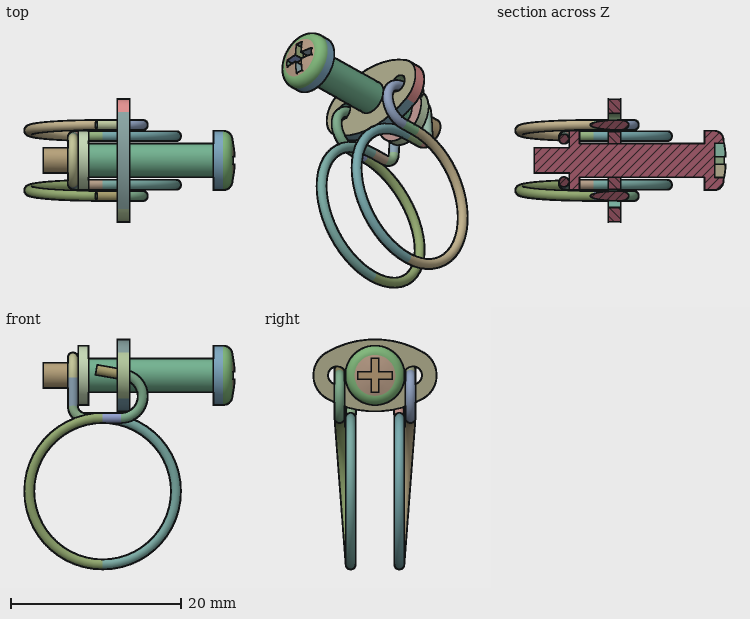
import cadquery as cq
import math


TIP_RADIUS = 1.5
TIP_START_X = -7.0
COLLAR_RADIUS = 3.5
COLLAR_START_X = -2.9
COLLAR_THICKNESS = 1.25
SHANK_RADIUS = 2.0
HEAD_RADIUS = 3.5
HEAD_START_X = 13.0
HEAD_RIM_LENGTH = 1.15
HEAD_EDGE_RADIUS = 1.1
HEAD_HEIGHT = 2.53
CROSS_LENGTH = 4.0
CROSS_WIDTH = 0.9
CROSS_DEPTH = 1.3

COLLAR_END_X = COLLAR_START_X + COLLAR_THICKNESS
HEAD_RIM_X = HEAD_START_X + HEAD_RIM_LENGTH
CROWN_X = HEAD_RIM_X + HEAD_EDGE_RADIUS
CROWN_RADIUS = HEAD_RADIUS - HEAD_EDGE_RADIUS
HEAD_END_X = HEAD_START_X + HEAD_HEIGHT

PLATE_START_X = 1.7
PLATE_THICKNESS = 1.5
PLATE_WIDTH = 14.5
PLATE_HEIGHT = 8.5
PLATE_SIDE_RADIUS = 11.25
WIRE_HOLE_RADIUS = 1.05
WIRE_HOLE_OFFSET_Y = 4.45

WIRE_RADIUS = 0.6
YOKE_RADIUS = 2.56
LEG_SPLAY = math.radians(3.7)
LEG_BEND_RADIUS = 1.4
COIL_RADIUS = 8.6
COIL_CENTER_Z = -13.6
COIL_END_Y = 4.17
HOOK_START_X = 2.15
HOOK_RADIUS = 2.55
HOOK_TIP_RISE = math.radians(10)
HOOK_TIP_LENGTH = 3.4


def make_screw():
    profile = (
        cq.Workplane("XZ")
        .moveTo(TIP_START_X, 0)
        .lineTo(TIP_START_X, TIP_RADIUS)
        .lineTo(COLLAR_START_X, TIP_RADIUS)
        .lineTo(COLLAR_START_X, COLLAR_RADIUS)
        .lineTo(COLLAR_END_X, COLLAR_RADIUS)
        .lineTo(COLLAR_END_X, SHANK_RADIUS)
        .lineTo(HEAD_START_X, SHANK_RADIUS)
        .lineTo(HEAD_START_X, HEAD_RADIUS)
        .lineTo(HEAD_RIM_X, HEAD_RADIUS)
        .radiusArc((CROWN_X, CROWN_RADIUS), HEAD_EDGE_RADIUS)
    )
    crown_rise = HEAD_END_X - CROWN_X
    sphere_radius = (CROWN_RADIUS**2 + crown_rise**2) / (2 * crown_rise)
    profile = profile.radiusArc((HEAD_END_X, 0), sphere_radius).close()
    screw = profile.revolve(360, (0, 0, 0), (1, 0, 0))

    cross_center = (HEAD_END_X - CROSS_DEPTH / 2, 0, 0)
    for size_y, size_z in ((CROSS_LENGTH, CROSS_WIDTH), (CROSS_WIDTH, CROSS_LENGTH)):
        slot = cq.Workplane("XY").box(CROSS_DEPTH, size_y, size_z).translate(cross_center)
        screw = screw.cut(slot)
    return screw


def make_plate():
    half_width = PLATE_WIDTH / 2
    half_height = PLATE_HEIGHT / 2
    side_center = PLATE_SIDE_RADIUS - half_height
    end_gap = PLATE_SIDE_RADIUS - half_width
    end_center = (side_center**2 - end_gap**2) / (2 * end_gap)
    center_distance = math.hypot(end_center, side_center)
    tangent_y = PLATE_SIDE_RADIUS * end_center / center_distance
    tangent_z = PLATE_SIDE_RADIUS * side_center / center_distance - side_center

    return (
        cq.Workplane("YZ", origin=(PLATE_START_X, 0, 0))
        .moveTo(-tangent_y, tangent_z)
        .threePointArc((0, half_height), (tangent_y, tangent_z))
        .threePointArc((half_width, 0), (tangent_y, -tangent_z))
        .threePointArc((0, -half_height), (-tangent_y, -tangent_z))
        .threePointArc((-half_width, 0), (-tangent_y, tangent_z))
        .close()
        .extrude(PLATE_THICKNESS)
        .cut(cq.Workplane("YZ").circle(SHANK_RADIUS).extrude(HEAD_START_X))
        .cut(
            cq.Workplane("YZ")
            .pushPoints([(-WIRE_HOLE_OFFSET_Y, 0), (WIRE_HOLE_OFFSET_Y, 0)])
            .circle(WIRE_HOLE_RADIUS)
            .extrude(HEAD_START_X)
        )
    )


def wire_path():
    """Centreline from the free tip on the -Y side, over the yoke, to the free tip on the +Y side."""
    yoke_x = COLLAR_START_X - WIRE_RADIUS
    yoke_center_z = TIP_RADIUS + WIRE_RADIUS - YOKE_RADIUS
    coil_top_z = COIL_CENTER_Z + COIL_RADIUS
    coil_bottom_z = COIL_CENTER_Z - COIL_RADIUS

    def yoke_point(angle):
        return cq.Vector(
            yoke_x,
            YOKE_RADIUS * math.cos(angle),
            yoke_center_z + YOKE_RADIUS * math.sin(angle),
        )

    yoke_start = yoke_point(math.pi - LEG_SPLAY)
    yoke_apex = yoke_point(math.pi / 2)
    yoke_end = yoke_point(LEG_SPLAY)
    yoke = cq.Edge.makeThreePointArc(yoke_start, yoke_apex, yoke_end)

    leg_direction = cq.Vector(0, math.sin(LEG_SPLAY), -math.cos(LEG_SPLAY))
    axial = cq.Vector(1, 0, 0)
    leg_drop = (yoke_end.z - coil_top_z) / math.cos(LEG_SPLAY)
    bend_start = yoke_end + leg_direction * (leg_drop - LEG_BEND_RADIUS)
    bend_middle = (
        bend_start
        + leg_direction * (LEG_BEND_RADIUS * math.sin(math.pi / 4))
        + axial * (LEG_BEND_RADIUS * (1 - math.cos(math.pi / 4)))
    )
    bend_end = bend_start + (leg_direction + axial) * LEG_BEND_RADIUS

    coil_start_y = bend_end.y
    lean = COIL_END_Y - coil_start_y
    leaning_radius = math.hypot(COIL_RADIUS, lean / 2)
    coil_start = cq.Vector(0, coil_start_y, coil_top_z)
    coil_front = cq.Vector(COIL_RADIUS, coil_start_y, COIL_CENTER_Z)
    coil_bottom = cq.Vector(0, coil_start_y, coil_bottom_z)
    coil_back = cq.Vector(-leaning_radius, coil_start_y + lean / 2, COIL_CENTER_Z)
    coil_end = cq.Vector(0, COIL_END_Y, coil_top_z)

    hook_center_z = coil_top_z + HOOK_RADIUS

    def hook_point(angle):
        return cq.Vector(
            HOOK_START_X + HOOK_RADIUS * math.cos(angle),
            COIL_END_Y,
            hook_center_z + HOOK_RADIUS * math.sin(angle),
        )

    hook_start = hook_point(-math.pi / 2)
    hook_middle = hook_point(0)
    hook_end = hook_point(math.pi / 2 - HOOK_TIP_RISE)
    tip_direction = cq.Vector(-math.cos(HOOK_TIP_RISE), 0, math.sin(HOOK_TIP_RISE))
    tip_end = hook_end + tip_direction * HOOK_TIP_LENGTH

    side = [
        cq.Edge.makeLine(yoke_end, bend_start),
        cq.Edge.makeThreePointArc(bend_start, bend_middle, bend_end),
        cq.Edge.makeLine(bend_end, coil_start),
        cq.Edge.makeThreePointArc(coil_start, coil_front, coil_bottom),
        cq.Edge.makeThreePointArc(coil_bottom, coil_back, coil_end),
        cq.Edge.makeLine(coil_end, hook_start),
        cq.Edge.makeThreePointArc(hook_start, hook_middle, hook_end),
        cq.Edge.makeLine(hook_end, tip_end),
    ]
    mirrored_side = [edge.mirror("XZ") for edge in reversed(side)]
    return cq.Wire.assembleEdges([*mirrored_side, yoke, *side])


def make_wire():
    path = wire_path()
    section_plane = cq.Plane(origin=path.startPoint(), normal=path.tangentAt(0))
    return cq.Workplane(section_plane).circle(WIRE_RADIUS).sweep(path)


screw = make_screw()
plate = make_plate()
wire = make_wire()

result = cq.Compound.makeCompound([screw.solids().val(), plate.solids().val(), wire.val()])